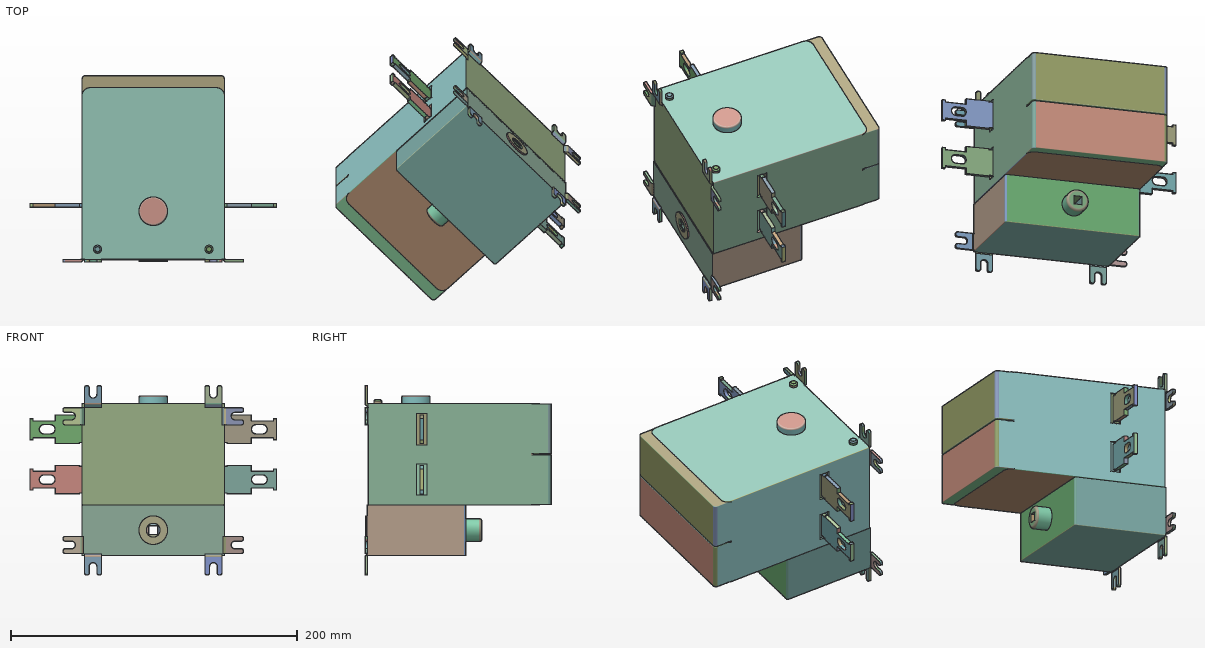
import cadquery as cq
import math


body_width = 99.4
housing_front = 2.2
housing_rear = 121.5
housing_height = 71.0
housing_corner_radius = 5.7
rim_fillet = 0.3

overall_depth = 130.0
cover_front = 103.2
cover_inset = 0.3
cover_corner_radius = 2.4
pole_height = housing_height / 2

drive_front = 1.5
drive_rear = 70.3
drive_height = 35.0
drive_corner_radius = 1.2

shaft_z = -17.4
rear_boss_diameter = 16.0
rear_boss_end = 81.5
rear_boss_fillet = 1.7
shaft_disc_diameter = 20.0
shaft_disc_front = 0.5
shaft_bore_diameter = 9.6
shaft_bore_depth = 0.9
shaft_slot_depth = 0.5
shaft_square = 6.0

knob_y = 35.5
knob_diameter = 20.0
knob_height = 5.2
knob_fillet = 1.0
screw_x = 38.9
screw_y = 9.0
screw_diameter = 5.7
screw_height = 2.8
screw_chamfer = 1.0

terminal_y = 39.5
terminal_thickness = 2.8
terminal_levels = (17.9, 53.0)
terminal_reach = 86.0
flange_thickness = 2.2
flange_height = 14.8
blade_height = 11.9
blade_start = 68.5
shoulder_height = 20.0
shoulder_start = 51.4
neck_height = 18.7
window_width = 7.0
window_height = 21.7
window_depth = 1.7
terminal_hole_length = 10.8
terminal_hole_height = 6.4
terminal_hole_x = 74.0

lug_thickness = 1.9
lug_width = 12.0
lug_slot_width = 5.2
lug_slot_depth = 8.6
lug_tip_radius = 1.5
lug_x = 42.0
upper_lug_z = 62.0
lower_lug_z = -27.7
top_lug_reach = 12.4
bottom_lug_reach = 13.5
side_lug_reach = 13.2
bend_radius = 1.5
bend_angle = math.radians(45)
outer_bend = 1.0


def block(width, y_front, y_rear, z_bottom, z_top):
    """Box centred on X."""
    size = (width, y_rear - y_front, z_top - z_bottom)
    return cq.Workplane("XY").box(*size, centered=(True, False, False)).translate((0, y_front, z_bottom))


def enclosure(y_front, y_rear, z_bottom, z_top, corner_radius):
    """Full-width box with round rear corners; its top and bottom rims are rounded except in front."""
    box = block(body_width, y_front, y_rear, z_bottom, z_top)
    box = box.edges("|Z and >Y").fillet(corner_radius)
    return box.faces("<Z or >Z").edges("not <Y").fillet(rim_fillet)


def y_cylinder(diameter, y_start, y_end):
    """Cylinder on the drive shaft axis."""
    disc = cq.Workplane("XZ", origin=(0, y_start, shaft_z)).circle(diameter / 2)
    return disc.extrude(y_start - y_end)


def top_cylinder(x, y, diameter, height):
    """Cylinder standing on top of the housing."""
    return cq.Workplane("XY", origin=(x, y, housing_height)).circle(diameter / 2).extrude(height)


def terminal(z):
    """Stepped contact blade that leaves the +X side, with an oblong bolt hole."""
    steps = [
        (0, shoulder_start, neck_height),
        (shoulder_start, blade_start, shoulder_height),
        (blade_start, terminal_reach, blade_height),
        (terminal_reach - flange_thickness, terminal_reach, flange_height),
    ]
    blade = cq.Workplane("XY")
    for x_start, x_end, height in steps:
        length = x_end - x_start
        step = cq.Workplane("XY").box(length, terminal_thickness, height)
        blade = blade.union(step.translate((x_start + length / 2, 0, 0)))
    hole = cq.Workplane("XZ").center(terminal_hole_x, 0).slot2D(terminal_hole_length, terminal_hole_height)
    blade = blade.cut(hole.extrude(terminal_thickness, both=True))
    return blade.translate((0, terminal_y, z))


def terminal_window(z):
    """Recess around a terminal in the +X wall."""
    window = cq.Workplane("XY").box(2 * window_depth, window_width, window_height)
    return window.translate((body_width / 2, terminal_y, z))


def lug(reach, bend, seat):
    """Upward forked lug at Z = 0; it bends back at 45 degrees onto a wall face at Y = seat."""
    arc_middle = (bend_radius * (1 - math.cos(bend_angle / 2)), bend - bend_radius * math.sin(bend_angle / 2))
    arc_end = (bend_radius * (1 - math.cos(bend_angle)), bend - bend_radius * math.sin(bend_angle))
    foot_end = (seat, arc_end[1] - (seat - arc_end[0]) / math.tan(bend_angle))
    plate = (
        cq.Workplane("YZ")
        .moveTo(0, reach)
        .lineTo(0, bend)
        .threePointArc(arc_middle, arc_end)
        .lineTo(*foot_end)
        .lineTo(seat, 0)
        .lineTo(lug_thickness, bend)
        .lineTo(lug_thickness, reach)
        .close()
        .extrude(lug_width / 2, both=True)
    )
    slot_radius = lug_slot_width / 2
    slot_end = reach - lug_slot_depth
    slot = (
        cq.Workplane("XZ")
        .moveTo(-slot_radius, reach)
        .lineTo(-slot_radius, slot_end + slot_radius)
        .threePointArc((0, slot_end), (slot_radius, slot_end + slot_radius))
        .lineTo(slot_radius, reach)
        .close()
        .extrude(-lug_thickness)
    )
    return plate.cut(slot).faces(">Z").edges("|Y").fillet(lug_tip_radius)


def both_sides(shape):
    """The shape and its mirror image across the YZ plane."""
    return shape.union(shape.mirror("YZ"))


result = enclosure(housing_front, housing_rear, 0, housing_height, housing_corner_radius)
for pole_bottom in (0, pole_height):
    cover_bottom = pole_bottom + cover_inset
    cover_top = pole_bottom + pole_height - cover_inset
    cover = enclosure(cover_front, overall_depth, cover_bottom, cover_top, cover_corner_radius)
    result = result.union(cover)
result = result.union(enclosure(drive_front, drive_rear, -drive_height, 0, drive_corner_radius))

rear_boss = y_cylinder(rear_boss_diameter, drive_rear, rear_boss_end)
result = result.union(rear_boss.faces(">Y").edges().fillet(rear_boss_fillet))
result = result.union(y_cylinder(shaft_disc_diameter, shaft_disc_front, drive_front))
bore_floor = shaft_disc_front + shaft_bore_depth
slot_floor = bore_floor + shaft_slot_depth
half_square = shaft_square / 2
result = result.cut(y_cylinder(shaft_bore_diameter, shaft_disc_front, bore_floor))
slot_band = block(body_width, bore_floor, slot_floor, shaft_z - half_square, shaft_z + half_square)
result = result.cut(slot_band.intersect(y_cylinder(shaft_bore_diameter, bore_floor, slot_floor)))
square_hole = block(shaft_square, slot_floor, rear_boss_end, shaft_z - half_square, shaft_z + half_square)
result = result.cut(square_hole)

knob = top_cylinder(0, knob_y, knob_diameter, knob_height)
result = result.union(knob.faces(">Z").edges().fillet(knob_fillet))
screw = top_cylinder(screw_x, screw_y, screw_diameter, screw_height)
result = result.union(both_sides(screw.faces(">Z").edges().chamfer(screw_chamfer)))

for z in terminal_levels:
    result = result.cut(both_sides(terminal_window(z)))
    result = result.union(both_sides(terminal(z)))

top_lug = lug(top_lug_reach, 0, housing_front).translate((lug_x, 0, housing_height))
result = result.union(both_sides(top_lug))
bottom_lug = lug(bottom_lug_reach, outer_bend, drive_front).mirror("XY")
result = result.union(both_sides(bottom_lug.translate((lug_x, 0, -drive_height))))
for z, seat in ((upper_lug_z, housing_front), (lower_lug_z, drive_front)):
    side_lug = lug(side_lug_reach, outer_bend, seat).rotate((0, 0, 0), (0, 1, 0), 90)
    result = result.union(both_sides(side_lug.translate((body_width / 2, 0, z))))